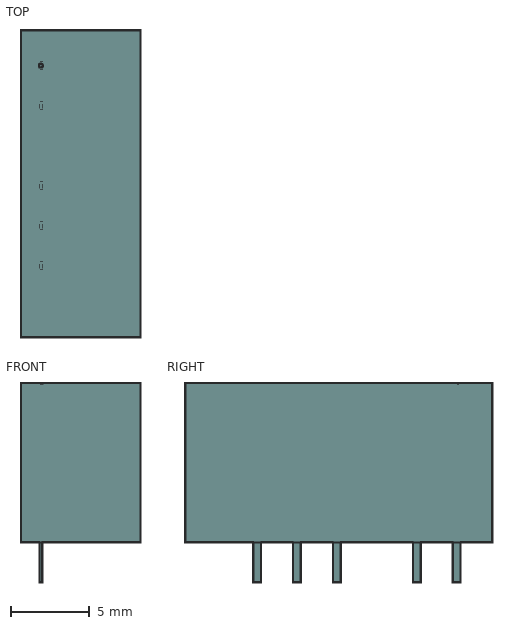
import cadquery as cq

housing_width = 7.63
housing_length = 19.56
housing_height = 10.15

pin_thickness = 0.2
pin_width = 0.5
pin_length = 2.55
pin_pitch = 2.55
pin_positions = (0, 1, 3, 4, 5)
row_side_inset = 1.27
row_end_inset = 2.27

row_x = -housing_width / 2 + row_side_inset
first_pin_y = housing_length / 2 - row_end_inset

marker_diameter = 0.25
marker_depth = 0.1


def make_marker():
    return (
        cq.Workplane("XY", origin=(row_x, first_pin_y, housing_height - marker_depth))
        .circle(marker_diameter / 2)
        .extrude(marker_depth)
    )


def make_housing(marker):
    """Block with a recess that fits the marker."""
    block = cq.Workplane("XY").box(
        housing_width, housing_length, housing_height, centered=(True, True, False)
    )
    return block.cut(marker)


def make_pin(position):
    """Flat lead hanging from the underside of the housing."""
    pin_y = first_pin_y - position * pin_pitch
    return (
        cq.Workplane("XY", origin=(row_x, pin_y, 0))
        .rect(pin_thickness, pin_width)
        .extrude(-pin_length)
    )


marker = make_marker()
housing = make_housing(marker)
pins = [make_pin(position) for position in pin_positions]

result = cq.Compound.makeCompound(
    [housing.val(), marker.val(), *[pin.val() for pin in pins]]
)